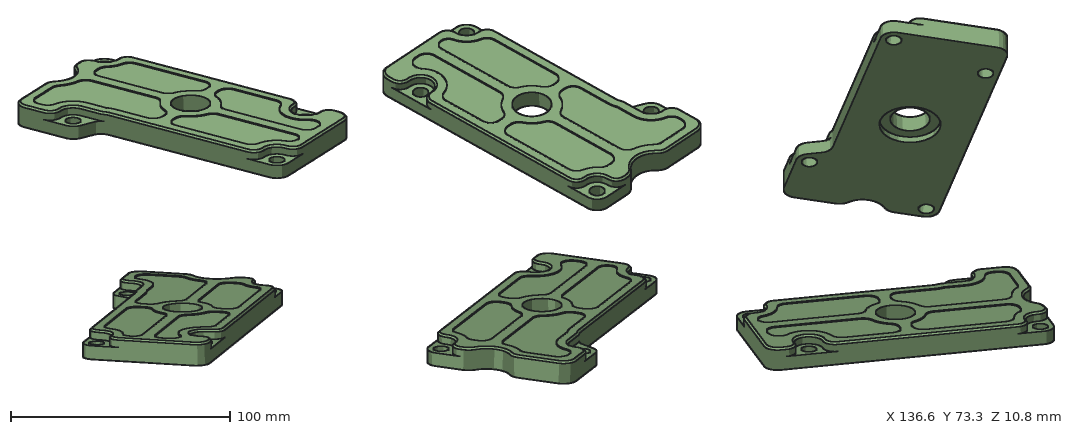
import cadquery as cq
import math

length = 136.6
body_width = 59.6
foot_drop = 13.7
thickness = 10.8
corner_radius = 6.3
top_chamfer = 1.0

half_length = length / 2
half_width = body_width / 2
foot_bottom = -half_width - foot_drop

foot_end_bottom_x = -35.5
foot_end_top_x = -29.4

foot_end_angle = math.atan2(foot_drop, foot_end_top_x - foot_end_bottom_x)
foot_bend_x = foot_end_top_x + corner_radius * math.tan(foot_end_angle / 2)
foot_bend = (foot_bend_x, -half_width - corner_radius)

notch_centre = (-73.0, -3.7)
notch_radius = 11.1
notch_lip_radius = 7.0

hub_centre = (0, 0)
bore_diameter = 18.0
hub_radius = 14.0
hub_recess_depth = 3.0

screw_diameter = 7.1
screw_inset_x = half_length - corner_radius
screw_inset_y = half_width - corner_radius
upper_left_screw = (-screw_inset_x, screw_inset_y)
top_screw = (47.3, screw_inset_y)
lower_right_screw = (screw_inset_x, -screw_inset_y)
foot_screw = (-39.8, foot_bottom + corner_radius)
screws = [upper_left_screw, top_screw, lower_right_screw, foot_screw]

seat_height = 6.4
seat_radius = 6.5
seat_edge_radius = 5.5
seat_opening = 16.4

pocket_depth = 0.5
pocket_corner_radius = 5.0
tight_corner_radius = 4.4
rim_width = 5.5
rib_half_width = 2.9

pocket_floor = thickness - pocket_depth
pocket_right = half_length - rim_width
pocket_top = half_width - rim_width
notch_wall_radius = notch_radius + rim_width
boss_radius = seat_radius + rim_width

pocket_end_x = pocket_right - pocket_corner_radius
pocket_end_reach = boss_radius + pocket_corner_radius
pocket_end_drop = math.sqrt(pocket_end_reach**2 - (pocket_end_x - top_screw[0]) ** 2)
pocket_end = (pocket_end_x, top_screw[1] - pocket_end_drop)


def block(corner, opposite, z_min, z_max):
    """Box over the rectangle between two opposite plan corners."""
    middle = ((corner[0] + opposite[0]) / 2, (corner[1] + opposite[1]) / 2)
    size = (abs(opposite[0] - corner[0]), abs(opposite[1] - corner[1]))
    return cq.Workplane().workplane(offset=z_min).center(*middle).rect(*size).extrude(z_max - z_min)


def cylinder(centre, radius, z_min, z_max):
    """Upright cylinder."""
    return cq.Workplane().workplane(offset=z_min).center(*centre).circle(radius).extrude(z_max - z_min)


def prism(points, z_min, z_max):
    """Upright prism over a polygon."""
    return cq.Workplane().workplane(offset=z_min).polyline(points).close().extrude(z_max - z_min)


def round_edge_at(body, point, z, radius):
    """Fillet the upright edge nearest to a plan position."""
    return body.edges("|Z").edges(cq.NearestToPointSelector((*point, z))).fillet(radius)


def plate_blank():
    """Full-height plate with rounded corners and the side notch."""
    outline = [
        (-half_length, foot_bottom),
        (foot_end_bottom_x, foot_bottom),
        (foot_end_top_x, -half_width),
        (half_length, -half_width),
        (half_length, half_width),
        (-half_length, half_width),
    ]
    plate = prism(outline, 0, thickness).edges("|Z").fillet(corner_radius)
    plate = plate.cut(cylinder(notch_centre, notch_radius, 0, thickness))
    for side in (1, -1):
        lip = (-half_length, notch_centre[1] + side * notch_radius)
        plate = round_edge_at(plate, lip, thickness / 2, notch_lip_radius)
    return plate


def corner_seat(screw, x_side, y_side):
    """Round seat space about a corner screw, opened out toward two sides (+1 or -1 each)."""
    x, y = screw
    outside = (x + x_side * seat_opening, y + y_side * seat_opening)
    seat = cylinder(screw, seat_radius, seat_height, thickness)
    seat = seat.union(block((x - x_side * seat_radius, y), outside, seat_height, thickness))
    return seat.union(block((x, y - y_side * seat_radius), outside, seat_height, thickness))


def top_seat():
    """U-shaped seat space about the top screw, opened out toward +Y."""
    x, y = top_screw
    seat = cylinder(top_screw, seat_radius, seat_height, thickness)
    opening = block((x - seat_radius, y), (x + seat_radius, y + seat_opening), seat_height, thickness)
    return seat.union(opening)


def cut_seats(plate):
    """Lower the plate around the screws and round both ends of each seat wall."""
    plate = plate.cut(top_seat())
    plate = plate.cut(corner_seat(upper_left_screw, -1, 1))
    for screw in (lower_right_screw, foot_screw):
        plate = plate.cut(corner_seat(screw, 1, -1))

    wall_ends = [
        (upper_left_screw[0] + seat_radius, half_width),
        (-half_length, upper_left_screw[1] - seat_radius),
        (top_screw[0] - seat_radius, half_width),
        (top_screw[0] + seat_radius, half_width),
        (lower_right_screw[0] - seat_radius, -half_width),
        (half_length, lower_right_screw[1] + seat_radius),
        (foot_screw[0] - seat_radius, foot_bottom),
        (foot_end_top_x, foot_screw[1] + seat_radius),
    ]
    for wall_end in wall_ends:
        plate = round_edge_at(plate, wall_end, (seat_height + thickness) / 2, seat_edge_radius)
    return plate


def pocket_blank(corner, opposite):
    """Rectangular pocket, less the walls around the hub, the screws and the notch."""
    pocket = block(corner, opposite, pocket_floor, thickness)
    walls = [(hub_centre, hub_radius), (notch_centre, notch_wall_radius)]
    walls += [(screw, boss_radius) for screw in screws]
    for centre, radius in walls:
        pocket = pocket.cut(cylinder(centre, radius, pocket_floor, thickness))
    return pocket


def round_pocket(pocket, unrounded_from, unrounded_to):
    """Fillet a pocket's upright edges, except those over the rectangle between two plan corners."""
    skipped = cq.selectors.BoxSelector((*unrounded_from, 0), (*unrounded_to, 2 * thickness))
    upright = cq.selectors.ParallelDirSelector(cq.Vector(0, 0, 1))
    return pocket.edges(upright - skipped).fillet(pocket_corner_radius)


def upper_left_pocket():
    """Pocket whose left wall is level with the deepest point of the notch wall."""
    left = notch_centre[0] + notch_wall_radius
    pocket = pocket_blank((left, rib_half_width), (-rib_half_width, pocket_top))
    return pocket.edges("|Z").fillet(pocket_corner_radius)


def upper_right_pocket():
    """Pocket that curls under the top screw and closes with a round end."""
    pocket = pocket_blank((rib_half_width, rib_half_width), (pocket_right, pocket_top))
    beyond_end = [
        top_screw,
        pocket_end,
        (pocket_right, pocket_end[1]),
        (pocket_right, half_width),
        (top_screw[0], half_width),
    ]
    pocket = pocket.cut(prism(beyond_end, pocket_floor, thickness))
    end_margin = 0.1
    pocket = round_pocket(
        pocket, (top_screw[0], pocket_end[1] - end_margin), (half_length, half_width))
    return pocket.union(cylinder(pocket_end, pocket_corner_radius, pocket_floor, thickness))


def lower_left_pocket():
    """Pocket that reaches down into the foot, keeping the rim along the foot seat."""
    pocket = pocket_blank(
        (-pocket_right, foot_bottom + rim_width), (-rib_half_width, -rib_half_width))
    foot_x, foot_y = foot_screw
    seat_rim = block((foot_x, foot_bottom), (foot_bend_x, foot_y + boss_radius), pocket_floor, thickness)
    body_rim = block((foot_bend_x, foot_bottom), (0, -pocket_top), pocket_floor, thickness)
    bend_rim = cylinder(foot_bend, corner_radius + rim_width, pocket_floor, thickness)
    pocket = pocket.cut(seat_rim).cut(body_rim).cut(bend_rim)

    margin = 1.4
    return round_pocket(pocket, (foot_x - margin, foot_bottom), (foot_bend_x + margin, 0))


def lower_right_pocket():
    """Pocket with two tighter corners where it narrows at the right rim."""
    pocket = pocket_blank((rib_half_width, -pocket_top), (pocket_right, -rib_half_width))
    boss_corner_y = lower_right_screw[1] + boss_radius
    pocket = round_pocket(pocket, (pocket_end_x, -half_width), (half_length, 0))
    for y in (-rib_half_width, boss_corner_y):
        pocket = round_edge_at(pocket, (pocket_right, y), pocket_floor, tight_corner_radius)
    return pocket


def cut_pockets(plate):
    """Cut the four shallow pockets into the top."""
    for pocket in (upper_left_pocket(), upper_right_pocket(), lower_left_pocket(), lower_right_pocket()):
        plate = plate.cut(pocket)
    return plate


def drill_holes(plate):
    """Drill the hub bore with its underside recess, and the screw holes."""
    plate = plate.cut(cylinder(hub_centre, bore_diameter / 2, 0, thickness))
    plate = plate.cut(cylinder(hub_centre, hub_radius, 0, hub_recess_depth))
    for screw in screws:
        plate = plate.cut(cylinder(screw, screw_diameter / 2, 0, thickness))
    return plate


plate = cut_seats(plate_blank())
plate = plate.faces(">Z").edges().chamfer(top_chamfer)
plate = cut_pockets(plate)
result = drill_holes(plate)